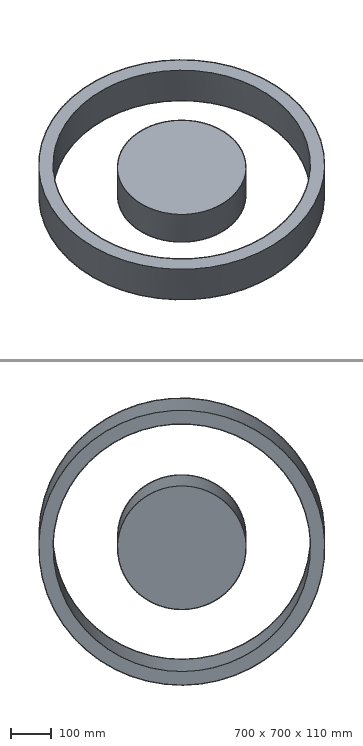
import cadquery as cq

ring_outer_diameter = 700.0
ring_wall = 35.0
ring_height = 110.0
disc_diameter = 315.0
disc_height = 100.0

ring_inner_diameter = ring_outer_diameter - 2 * ring_wall


def make_ring():
    """Plain round ring standing on the base plane."""
    return (
        cq.Workplane("XY")
        .circle(ring_outer_diameter / 2)
        .circle(ring_inner_diameter / 2)
        .extrude(ring_height)
    )


def make_disc():
    """Solid disc at the ring's centre, on the same base plane and slightly lower than the ring."""
    return cq.Workplane("XY").circle(disc_diameter / 2).extrude(disc_height)


ring = make_ring()
disc = make_disc()

result = cq.Compound.makeCompound([ring.val(), disc.val()])